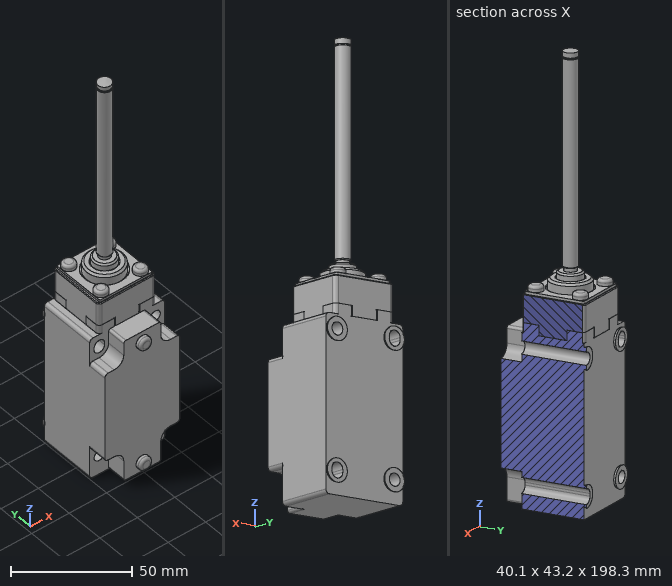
import cadquery as cq


housing_width = 40.0
housing_height = 76.7
housing_front = -24.5
housing_corner = 1.8
pocket_width = 10.1
pocket_height_low = 16.3
pocket_height_high = 12.7
pocket_radius = 5.2
boss_corner = 1.2
ledge_corner = 1.8

hole_diameter = 5.5
slot_length = 6.7
hole_x = 14.9
hole_z_low = 10.3
hole_z_high = 70.2
pad_thickness = 1.1
pad_diameter = 10.3
pad_root_diameter = 9.5

screw_diameter = 6.7
screw_height = 2.8
screw_round = 1.4
cover_screw_z_low = 5.4
cover_screw_z_high = 71.2
head_screw_offset = 10.5

head_width = 30.5
head_depth = 29.5
head_height = 16.7
head_corner = 1.8
head_bevel = 0.4
post_width = 8.5
post_depth = 8.3
post_height = 4.5
post_gap = 0.5
plate_width = 28.2
plate_depth = 28.2
plate_thickness = 1.2
plate_corner = 0.8

collar_diameter = 19.0
collar_height = 4.4
collar_bevel = 1.0
collar_groove = 0.8
bush_diameter = 11.7
bush_height = 3.0
bush_bevel = 0.8
bush_groove = 0.5
groove_depth = 0.8

rod_diameter = 7.0
neck_diameter = 5.8
neck_height = 1.5
rod_bevel = 0.5
rod_top = 198.3
cone_height = 1.0
tip_length = 3.4
tip_groove_width = 0.5
tip_groove_diameter = 6.1

post_top = housing_height + post_height
head_top = housing_height + head_height
plate_top = head_top + plate_thickness
collar_top = plate_top + collar_height
bush_top = collar_top + bush_height
rod_bottom = bush_top + neck_height
tip_edge = rod_top - cone_height
tip_bottom = rod_top - tip_length

housing_back = head_depth / 2
pocket_floor = -head_depth / 2

SIDES = (-1, 1)
CORNERS = [(sign_x, sign_y) for sign_x in SIDES for sign_y in SIDES]


def block(width, depth, bottom, top):
    """Upright block centred on the Z axis."""
    return cq.Workplane("XY", origin=(0, 0, bottom)).rect(width, depth).extrude(top - bottom)


def disc(diameter, bottom, top):
    """Upright cylinder centred on the Z axis."""
    return cq.Workplane("XY", origin=(0, 0, bottom)).circle(diameter / 2).extrude(top - bottom)


def screw_head():
    """Round screw head that stands on z = 0."""
    return disc(screw_diameter, 0, screw_height).faces(">Z").edges().fillet(screw_round)




def front_block(width, bottom, top, corner, back, depth):
    """Block that runs forward from y = back, with its four long edges rounded."""
    sheet = cq.Workplane("XZ", origin=(0, back, (bottom + top) / 2))
    return sheet.rect(width, top - bottom).extrude(depth).edges("|Y").fillet(corner)


def pad(x, z):
    """Pad on the back face that widens away from the housing."""
    return (
        cq.Workplane("XZ", origin=(x, housing_back, z))
        .circle(pad_root_diameter / 2)
        .workplane(offset=-pad_thickness)
        .circle(pad_diameter / 2)
        .loft()
    )


def cover_section():
    """Cross-shaped front part of the housing, with pockets at its four corners."""
    depth = pocket_floor - housing_front
    ledge_low = pocket_height_low
    ledge_high = housing_height - pocket_height_high
    wide = front_block(housing_width, ledge_low, ledge_high, ledge_corner, pocket_floor, depth)
    tall = front_block(housing_width - 2 * pocket_width, 0, housing_height, boss_corner, pocket_floor, depth)
    section = wide.union(tall)
    boss_x = housing_width / 2 - pocket_width
    for sign_x in SIDES:
        for z in (ledge_low, ledge_high):
            inner_corner = (sign_x * boss_x, pocket_floor - depth / 2, z)
            section = section.edges(cq.NearestToPointSelector(inner_corner)).fillet(pocket_radius)
    return section


def corner_posts():
    """Posts on top of the housing that fill the corners at the foot of the head."""
    blank = block(head_width, head_depth, housing_height, post_top).edges("|Z").fillet(head_corner)
    across_x = block(head_width - 2 * post_width, head_depth, housing_height, post_top)
    across_y = block(head_width, head_depth - 2 * post_depth, housing_height, post_top)
    return blank.cut(across_x).cut(across_y)


def mounting_holes():
    """Round holes on one diagonal and upright slots on the other."""
    depth = housing_back + pad_thickness - pocket_floor
    sheet = cq.Workplane("XZ", origin=(0, housing_back + pad_thickness, 0))
    round_places = [(hole_x, hole_z_high), (-hole_x, hole_z_low)]
    slot_places = [(-hole_x, hole_z_high), (hole_x, hole_z_low)]
    holes = sheet.pushPoints(round_places).circle(hole_diameter / 2).extrude(depth)
    slots = sheet.pushPoints(slot_places).slot2D(slot_length, hole_diameter, 90).extrude(depth)
    return holes.union(slots)


def make_housing():
    """Housing with its cover, cover screws, corner posts and rear pads."""
    back_depth = housing_back - pocket_floor
    body = front_block(housing_width, 0, housing_height, housing_corner, housing_back, back_depth)
    body = body.union(cover_section()).union(corner_posts())
    for sign_x in SIDES:
        for z in (hole_z_low, hole_z_high):
            body = body.union(pad(sign_x * hole_x, z))
    for z in (cover_screw_z_low, cover_screw_z_high):
        screw = screw_head().rotate((0, 0, 0), (1, 0, 0), 90)
        body = body.union(screw.translate((0, housing_front, z)))
    return body.cut(mounting_holes())




def add_ring(body, diameter, bottom, top, bevel, groove):
    """Add a disc that is bevelled at its top and stands in a narrow groove sunk into the body."""
    ring_bottom = bottom - groove_depth
    clearance = disc(diameter + 2 * groove, ring_bottom, bottom)
    ring = disc(diameter, ring_bottom, top).faces(">Z").chamfer(bevel)
    return body.cut(clearance).union(ring)


def make_head():
    """Head block with the tongues between the posts, the top plate, collar, bush and screws."""
    tongue_width = head_width - 2 * (post_width + post_gap)
    body = block(head_width, head_depth, post_top, head_top).edges("|Z").fillet(head_corner)
    body = body.faces(">Z").chamfer(head_bevel)
    tongue_x = block(tongue_width, head_depth, housing_height, post_top)
    tongue_y = block(head_width, head_depth - 2 * post_depth, housing_height, post_top)
    plate = block(plate_width, plate_depth, head_top, plate_top).edges("|Z").fillet(plate_corner)
    body = body.union(tongue_x).union(tongue_y).union(plate)
    body = add_ring(body, collar_diameter, plate_top, collar_top, collar_bevel, collar_groove)
    body = add_ring(body, bush_diameter, collar_top, bush_top, bush_bevel, bush_groove)
    for sign_x, sign_y in CORNERS:
        place = (sign_x * head_screw_offset, sign_y * head_screw_offset, plate_top)
        body = body.union(screw_head().translate(place))
    return body




def make_rod():
    """Rod on a narrower neck, with a groove near its conical tip."""
    rod_radius = rod_diameter / 2
    groove_radius = tip_groove_diameter / 2
    neck_radius = neck_diameter / 2
    profile = (
        cq.Workplane("XZ")
        .moveTo(0, bush_top)
        .lineTo(neck_radius, bush_top)
        .lineTo(neck_radius, rod_bottom)
        .lineTo(rod_radius - rod_bevel, rod_bottom)
        .lineTo(rod_radius, rod_bottom + rod_bevel)
        .lineTo(rod_radius, tip_bottom - tip_groove_width)
        .lineTo(groove_radius, tip_bottom - tip_groove_width)
        .lineTo(groove_radius, tip_bottom)
        .lineTo(rod_radius, tip_bottom)
        .lineTo(rod_radius, tip_edge)
        .lineTo(0, rod_top)
        .close()
    )
    return profile.revolve(360, (0, 0, 0), (0, 1, 0))


housing = make_housing()
head = make_head()
rod = make_rod()

result = cq.Compound.makeCompound([housing.solids().val(), head.solids().val(), rod.val()])